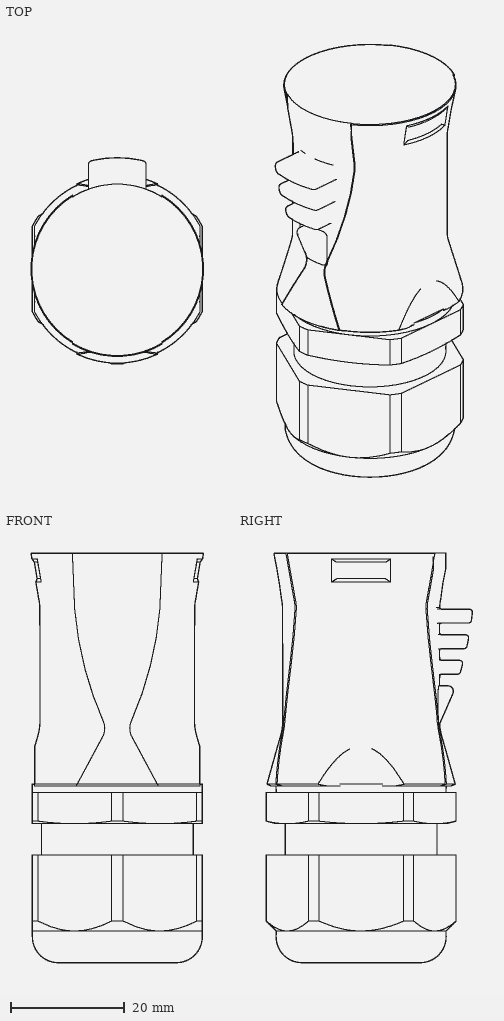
import cadquery as cq
import math

total_height = 72.2
dome_seam_z = 4.6
cap_nut_bottom_z = 5.6
cap_nut_top_z = 19.0
body_nut_bottom_z = 24.5
body_nut_top_z = 30.0
skirt_underside_z = 31.1
skirt_edge_z = 31.45
skirt_blend_z = 40.05
grip_bottom_z = 42.5
grip_top_z = 62.3
flare_blend_z = 64.1

nut_sides = 6
nut_across_flats = 30.0
nut_corner_radius = 16.75
cap_nut_chamfer_height = nut_corner_radius - nut_across_flats / 2
body_nut_chamfer_height = 0.45
neck_radius = 13.4
dome_fillet = dome_seam_z

grip_radius = 13.65
skirt_blend_radius = 14.0
skirt_radius = 16.4
skirt_lip_width = 0.8
flare_blend_radius = 13.85
flare_radius = 15.205
rim_chamfer = 0.15
skirt_flat_x = 14.53
rear_radius = 14.95

band_height = 0.2
band_top_half_width = 7.9
band_grip_top_half_width = 7.5
band_grip_middle_half_width = 5.85
band_waist_end_half_width = 2.45
band_waist_half_width = 2.2
band_bottom_half_width = 7.25

pocket_half_width = 5.2
pocket_bottom_z = 67.05
pocket_top_z = 71.15
pocket_bevel_height = 0.6
pocket_depth = 0.3
pocket_end_depth = 0.95

top_rib_half_width = 5.1
rib_width_curve_radius = 40.0
rib_thickness = 2.5
rib_pitch = 4.5
rib_count = 3
rib_fillet = 1.1
rib_tip_fillet = 0.6
rib_root_fillet = 0.3
rib_root_y = 11.0
top_rib_reach = 19.69
rib_tip_slope = 0.1
rib_tip_curve_radius = 60.0
heel_bottom_z = 41.5
heel_bottom_reach = 13.6
heel_fillet = 1.0

OVERLAP = 1.0
CLEAR = 30.0


def cylinder(radius, bottom_z, top_z):
    return cq.Workplane("XY").workplane(offset=bottom_z).circle(radius).extrude(top_z - bottom_z)


def revolve_polygon(points):
    """Revolve a closed (radius, z) outline about the Z axis."""
    return cq.Workplane("XZ").polyline(points).close().revolve(360, (0, 0, 0), (0, 1, 0))


def nut(bottom_z, top_z, chamfer_height):
    """Hexagon with flats facing X, corners turned round and the lower end chamfered."""
    across_corners = nut_across_flats / math.cos(math.pi / nut_sides)
    hexagon = (
        cq.Workplane("XY")
        .workplane(offset=bottom_z)
        .transformed(rotate=(0, 0, 180 / nut_sides))
        .polygon(nut_sides, across_corners)
        .extrude(top_z - bottom_z)
    )
    turned = revolve_polygon([
        (0, bottom_z),
        (nut_across_flats / 2, bottom_z),
        (nut_corner_radius, bottom_z + chamfer_height),
        (nut_corner_radius, top_z),
        (0, top_z),
    ])
    return hexagon.intersect(turned)


def cable_gland():
    """Domed cap nut, neck, body nut and collar."""
    cap_radius = nut_across_flats / 2
    dome = cylinder(cap_radius, 0, cap_nut_bottom_z + OVERLAP).faces("<Z").edges().fillet(dome_fillet)
    neck = cylinder(neck_radius, cap_nut_top_z - OVERLAP, body_nut_top_z)
    collar = cylinder(cap_radius, body_nut_top_z - OVERLAP, skirt_edge_z)
    cap_nut = nut(cap_nut_bottom_z, cap_nut_top_z, cap_nut_chamfer_height)
    body_nut = nut(body_nut_bottom_z, body_nut_top_z, body_nut_chamfer_height)
    return dome.union(cap_nut).union(neck).union(body_nut).union(collar)


def hood_revolve(growth):
    """Turned hood, with every radius enlarged by the given growth."""
    return (
        cq.Workplane("XZ")
        .moveTo(0, skirt_underside_z)
        .lineTo(skirt_radius + growth - skirt_lip_width, skirt_underside_z)
        .lineTo(skirt_radius + growth, skirt_edge_z)
        .lineTo(skirt_blend_radius + growth, skirt_blend_z)
        .tangentArcPoint((grip_radius + growth, grip_bottom_z), relative=False)
        .lineTo(grip_radius + growth, grip_top_z)
        .tangentArcPoint((flare_blend_radius + growth, flare_blend_z), relative=False)
        .lineTo(flare_radius + growth, total_height - rim_chamfer)
        .lineTo(flare_radius + growth - rim_chamfer, total_height)
        .lineTo(0, total_height)
        .close()
        .revolve(360, (0, 0, 0), (0, 1, 0))
    )


def band_prism():
    """Hourglass outline in XZ, running through the hood along Y."""
    waist = (band_waist_half_width, (skirt_blend_z + grip_bottom_z) / 2)
    waist_top = (band_waist_end_half_width, grip_bottom_z)
    grip_middle = (band_grip_middle_half_width, (grip_bottom_z + grip_top_z) / 2)
    half = (
        cq.Workplane("XZ")
        .moveTo(0, skirt_underside_z)
        .lineTo(band_bottom_half_width, skirt_underside_z)
        .lineTo(band_waist_end_half_width, skirt_blend_z)
        .threePointArc(waist, waist_top)
        .threePointArc(grip_middle, (band_grip_top_half_width, grip_top_z))
        .lineTo(band_top_half_width, total_height)
        .lineTo(0, total_height)
        .close()
        .extrude(CLEAR, both=True)
    )
    return half.union(half.mirror("YZ"))


def skirt_envelope():
    """Box whose sides are the two skirt flats, widening above the skirt."""
    skirt_box = (
        cq.Workplane("XY")
        .workplane(offset=skirt_underside_z)
        .rect(2 * skirt_flat_x, 2 * CLEAR)
        .extrude(grip_bottom_z - skirt_underside_z)
    )
    return skirt_box.union(cylinder(CLEAR, grip_bottom_z, total_height))


def rear_trim():
    """Material outside the upright rear cylinder, across the width of the +Y band."""
    block = cq.Workplane("XY").box(
        2 * band_top_half_width, CLEAR, total_height - grip_top_z, centered=(True, False, False)
    ).translate((0, 0, grip_top_z))
    return block.cut(cylinder(rear_radius, grip_top_z, total_height))


def flare_surface_radius(z):
    slope = (flare_radius - flare_blend_radius) / (total_height - rim_chamfer - flare_blend_z)
    return flare_blend_radius + slope * (z - flare_blend_z)


def pocket_ring():
    """Shallow turned groove with bevelled upper and lower walls."""
    floor_bottom_z = pocket_bottom_z + pocket_bevel_height
    floor_top_z = pocket_top_z - pocket_bevel_height
    return revolve_polygon([
        (flare_surface_radius(pocket_bottom_z), pocket_bottom_z),
        (flare_surface_radius(floor_bottom_z) - pocket_depth, floor_bottom_z),
        (flare_surface_radius(floor_top_z) - pocket_depth, floor_top_z),
        (flare_surface_radius(pocket_top_z), pocket_top_z),
        (CLEAR, pocket_top_z),
        (CLEAR, pocket_bottom_z),
    ])


def pocket_window():
    """Box on the +X side, tilted with the flare, that limits the groove to a pocket."""
    middle_z = (pocket_bottom_z + pocket_top_z) / 2
    middle_radius = flare_surface_radius(middle_z)
    tilt = math.degrees(math.atan2(
        flare_surface_radius(pocket_top_z) - flare_surface_radius(pocket_bottom_z),
        pocket_top_z - pocket_bottom_z,
    ))
    box_height = 2 * (pocket_top_z - pocket_bottom_z)
    return (
        cq.Workplane("XY")
        .box(CLEAR, 2 * pocket_half_width, box_height, centered=(False, True, True))
        .translate((-pocket_end_depth, 0, 0))
        .rotate((0, 0, 0), (0, 1, 0), tilt)
        .translate((middle_radius, 0, middle_z))
    )


def hood():
    """Turned body with raised bands, trimmed flats and side pockets."""
    band = hood_revolve(band_height).intersect(band_prism())
    body = hood_revolve(0).union(band).intersect(skirt_envelope()).cut(rear_trim())
    pocket = pocket_ring().intersect(pocket_window())
    return body.cut(pocket).cut(pocket.mirror("YZ"))


def rib_blank(half_width, top_z, top_reach, bottom_z, bottom_reach):
    """Plate on the +Y face whose tip lies on a cone about the Z axis."""
    cone = revolve_polygon([
        (0, bottom_z),
        (bottom_reach, bottom_z),
        (top_reach, top_z),
        (0, top_z),
    ])
    slab = (
        cq.Workplane("XY")
        .workplane(offset=bottom_z)
        .center(0, rib_root_y)
        .rect(2 * half_width, 2 * CLEAR)
        .extrude(top_z - bottom_z)
    )
    outer_half = cq.Workplane("XY").box(
        2 * CLEAR, CLEAR, total_height, centered=(True, False, False)
    ).translate((0, rib_root_y, 0))
    return cone.intersect(slab).intersect(outer_half)


def arc_drop(radius, distance):
    """Fall of a circular arc below its tangent at the given distance along it."""
    return radius - math.sqrt(radius ** 2 - distance ** 2)


def tip_reach(z):
    """Reach of the rib tips, which draw in along an arc as z falls."""
    drop = grip_top_z - z
    return top_rib_reach - rib_tip_slope * drop - arc_drop(rib_tip_curve_radius, drop)


def rib_half_width(top_z):
    """Half width of a rib; lower ribs are narrower."""
    return top_rib_half_width - arc_drop(rib_width_curve_radius, grip_top_z - top_z)


def straight_rib(index):
    """Level rib with rounded long edges and a softened tip, counted from the top."""
    top_z = grip_top_z - index * rib_pitch
    bottom_z = top_z - rib_thickness
    blank = rib_blank(rib_half_width(top_z), top_z, tip_reach(top_z), bottom_z, tip_reach(bottom_z))
    round_sided = blank.edges("|Y").fillet(rib_fillet)
    return round_sided.faces(">Y").edges().fillet(rib_tip_fillet)


def heel():
    """Lowest rib: a wedge that slopes back into the grip."""
    top_z = grip_top_z - rib_count * rib_pitch
    blank = rib_blank(rib_half_width(top_z), top_z, tip_reach(top_z), heel_bottom_z, heel_bottom_reach)
    return blank.edges("not <Y").edges("not <Z").fillet(heel_fillet)


def root_zone(index):
    """Box selector around the line where a straight rib meets the grip."""
    grip_face = grip_radius + band_height
    top_z = grip_top_z - index * rib_pitch
    half_width = rib_half_width(top_z)
    corner_y = math.sqrt(grip_face ** 2 - half_width ** 2)
    margin = 0.1
    return cq.selectors.BoxSelector(
        (-half_width - margin, corner_y - margin, top_z - rib_thickness - margin),
        (half_width + margin, grip_face + margin, top_z + margin),
        boundingbox=True,
    )


result = cable_gland().union(hood()).union(heel())
for rib_index in range(rib_count):
    result = result.union(straight_rib(rib_index))
    result = result.edges(root_zone(rib_index)).fillet(rib_root_fillet)